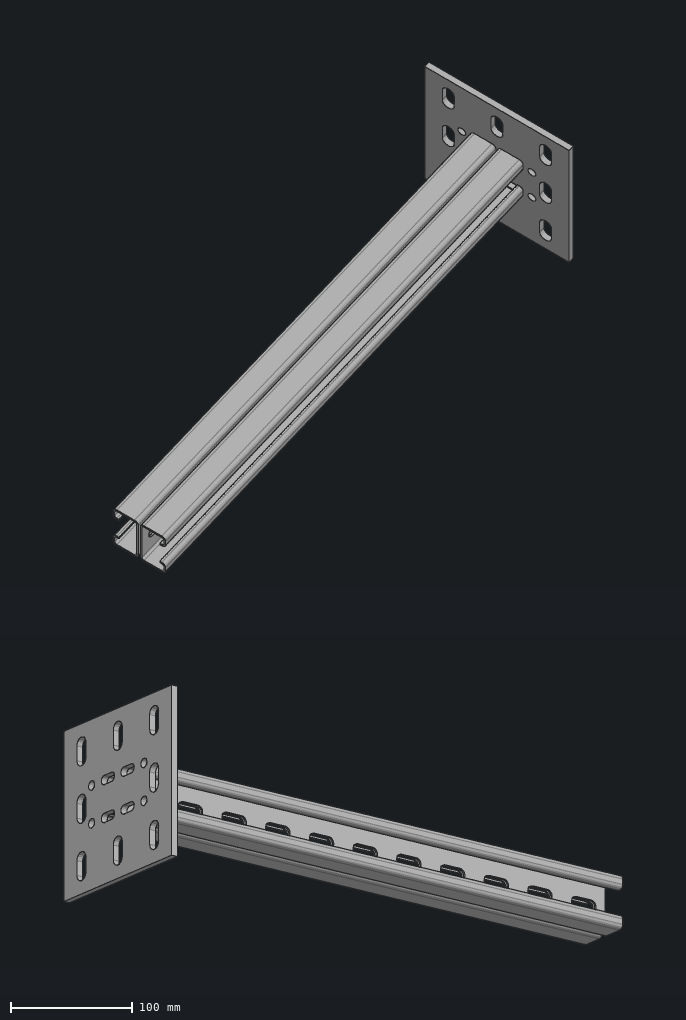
import cadquery as cq
import math

PLATE_SIZE = 149.0
PLATE_THICKNESS = 6.0

UPRIGHT_SLOT_PITCH = 50.0
UPRIGHT_SLOT_LENGTH = 25.0
UPRIGHT_SLOT_WIDTH = 12.0
HOLE_DIAMETER = 8.0
HOLE_X = 36.0
HOLE_Z = 16.5
LEVEL_SLOT_X = 13.5
LEVEL_SLOT_LENGTH = 18.0

TOTAL_LENGTH = 501.0
CHANNEL_LENGTH = TOTAL_LENGTH - PLATE_THICKNESS
CHANNEL_DEPTH = 26.0
CHANNEL_GAP = 2.0
CHANNEL_HEIGHT = 47.5
SHEET_THICKNESS = 1.75
BEND_RADIUS = 4.0
MOUTH_HALF_HEIGHT = 11.0
LIP_RETURN = 6.0

WEB_SLOT_COUNT = 11
WEB_SLOT_PITCH = 45.0
WEB_SLOT_LENGTH = 25.0
WEB_SLOT_HEIGHT = 10.5


def step_towards(start, target, distance):
    """Point at the given distance from start on the line to target."""
    share = distance / math.dist(start, target)
    return tuple(a + share * (b - a) for a, b in zip(start, target))


def rounded_outline(corners):
    """Closed XZ outline through right-angled corners (x, z, radius); radius 0 keeps a corner sharp."""
    points = [(x, z) for x, z, _ in corners]
    outline = cq.Workplane("XZ").moveTo(*points[-1])
    for i, (x, z, radius) in enumerate(corners[:-1]):
        corner = (x, z)
        if radius == 0:
            outline = outline.lineTo(*corner)
            continue
        arc_start = step_towards(corner, points[i - 1], radius)
        arc_end = step_towards(corner, points[i + 1], radius)
        chord_middle = ((arc_start[0] + arc_end[0]) / 2, (arc_start[1] + arc_end[1]) / 2)
        arc_middle = step_towards(corner, chord_middle, radius * (math.sqrt(2) - 1))
        outline = outline.lineTo(*arc_start).threePointArc(arc_middle, arc_end)
    return outline.close()


def channel_section():
    """Section of the channel that opens towards +X."""
    outer_top = CHANNEL_HEIGHT / 2
    inner_top = outer_top - SHEET_THICKNESS
    inner_side = CHANNEL_DEPTH - SHEET_THICKNESS
    lip_inside = MOUTH_HALF_HEIGHT + SHEET_THICKNESS
    return_end = CHANNEL_DEPTH - LIP_RETURN
    inner_radius = BEND_RADIUS - SHEET_THICKNESS
    upper_half = [
        (0, outer_top, BEND_RADIUS),
        (CHANNEL_DEPTH, outer_top, BEND_RADIUS),
        (CHANNEL_DEPTH, MOUTH_HALF_HEIGHT, BEND_RADIUS),
        (return_end, MOUTH_HALF_HEIGHT, 0),
        (return_end, lip_inside, 0),
        (inner_side, lip_inside, inner_radius),
        (inner_side, inner_top, inner_radius),
        (SHEET_THICKNESS, inner_top, inner_radius),
    ]
    lower_half = [(x, -z, radius) for x, z, radius in reversed(upper_half)]
    web_middle = (0, 0, 0)
    return rounded_outline(upper_half + lower_half + [web_middle])


def channel():
    """Slotted channel that opens towards +X, its web on the plane X = 0, running along Y up to the plate."""
    body = channel_section().extrude(-CHANNEL_LENGTH)
    web_slots = (
        cq.Workplane("YZ")
        .center(CHANNEL_LENGTH / 2, 0)
        .rarray(WEB_SLOT_PITCH, 5, WEB_SLOT_COUNT, 1)
        .slot2D(WEB_SLOT_LENGTH, WEB_SLOT_HEIGHT)
        .extrude(SHEET_THICKNESS)
    )
    return body.cut(web_slots)


def wall_plate():
    """Square plate at the end of the channels, with its slots and holes."""
    face = cq.Workplane("XZ", origin=(0, CHANNEL_LENGTH, 0))
    plate = face.rect(PLATE_SIZE, PLATE_SIZE).extrude(-PLATE_THICKNESS)

    positions = (-UPRIGHT_SLOT_PITCH, 0, UPRIGHT_SLOT_PITCH)
    ring = [(x, z) for x in positions for z in positions if (x, z) != (0, 0)]
    plate = plate.cut(
        face.pushPoints(ring)
        .slot2D(UPRIGHT_SLOT_LENGTH, UPRIGHT_SLOT_WIDTH, 90)
        .extrude(-PLATE_THICKNESS)
    )
    plate = plate.cut(
        face.rarray(2 * HOLE_X, 2 * HOLE_Z, 2, 2)
        .circle(HOLE_DIAMETER / 2)
        .extrude(-PLATE_THICKNESS)
    )
    plate = plate.cut(
        face.rarray(2 * LEVEL_SLOT_X, 2 * HOLE_Z, 2, 2)
        .slot2D(LEVEL_SLOT_LENGTH, HOLE_DIAMETER)
        .extrude(-PLATE_THICKNESS)
    )
    return plate


plate = wall_plate()
right_channel = channel().translate((CHANNEL_GAP / 2, 0, 0))
channels = [right_channel, right_channel.mirror("YZ")]

result = cq.Compound.makeCompound([plate.val(), *[body.val() for body in channels]])